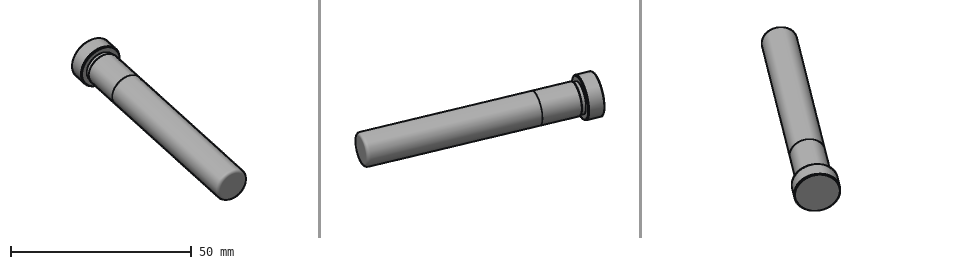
import cadquery as cq

total_length = 70.0
head_diameter = 13.0
head_length = 5.0
head_chamfer = 0.3
shaft_diameter = 10.0
tip_radius = 1.0

neck_depth = 0.3
neck_end = 6.4
neck_taper_length = 0.3

fit_zone_end = 18.0
fit_clearance = 0.01

head_radius = head_diameter / 2
shaft_radius = shaft_diameter / 2
front_radius = shaft_radius - fit_clearance
neck_radius = shaft_radius - neck_depth


def make_head():
    head = cq.Workplane("YZ").circle(head_radius).extrude(head_length)
    return head.edges().chamfer(head_chamfer)


def make_shaft():
    half_profile = (
        cq.Workplane("XY")
        .moveTo(head_length / 2, 0)
        .lineTo(head_length / 2, neck_radius)
        .lineTo(neck_end - neck_taper_length, neck_radius)
        .lineTo(neck_end, shaft_radius)
        .lineTo(fit_zone_end, shaft_radius)
        .lineTo(fit_zone_end, front_radius)
        .lineTo(total_length, front_radius)
        .lineTo(total_length, 0)
        .close()
    )
    shaft = half_profile.revolve(360, (0, 0, 0), (1, 0, 0))
    return shaft.faces(">X").edges().fillet(tip_radius)


result = make_head().union(make_shaft())